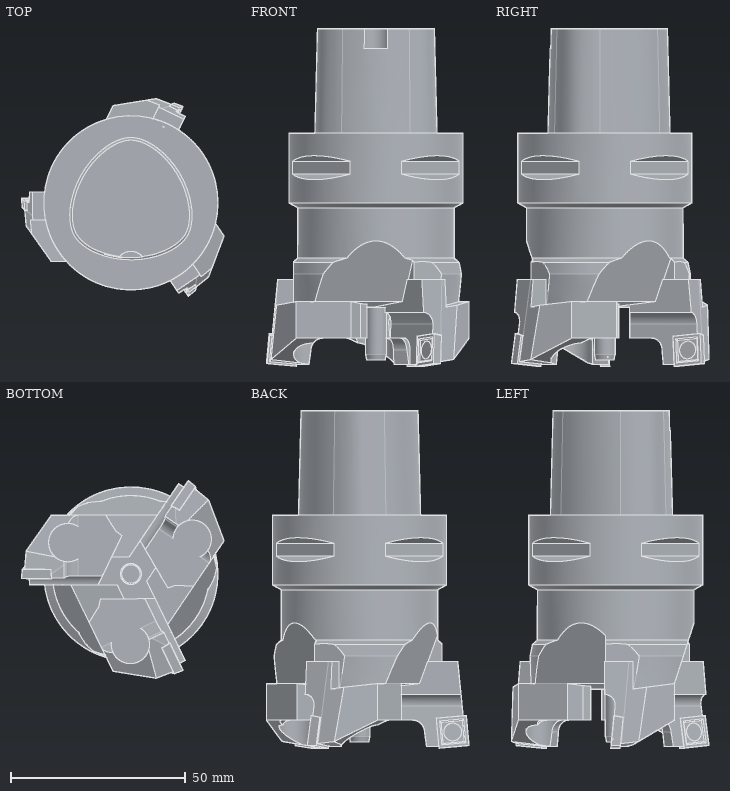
import cadquery as cq
import math

FLANGE_DIAMETER = 50.0
FLANGE_HEIGHT = 20.0
FLANGE_CONE_HEIGHT = 1.4
NECK_DIAMETER = 45.0

SHANK_LENGTH = 30.0
SHANK_WIDTH = 35.1
SHANK_TAPER = 1 / 20
LOBE_RISE = 1.2
LOBE_COUNT = 3
LOBE_SPACING = 360 / LOBE_COUNT
LOBE_HALF_TURN = 36.8
POINTS_PER_PIECE = 8
NOTCH_RADIUS = 4.3
NOTCH_TIP_Y = -13.9
NOTCH_DEPTH = 5.7

SLOT_COUNT = 4
SLOT_FIRST_ANGLE = 45.0
SLOT_Z = -9.89
SLOT_FLOOR_DISTANCE = 22.1
SLOT_FLOOR_HEIGHT = 3.65
SLOT_MOUTH_HEIGHT = 6.9

COLLAR_TOP_Z = -35.8
COLLAR_CHAMFER_Z = -37.05
COLLAR_WIDEST_Z = -40.4
COLLAR_CHAMFER_RADIUS = 23.9
COLLAR_RADIUS = 24.6
COLLAR_BOTTOM_RADIUS = 24.2
COLLAR_FLAT_X = -23.65
HUB_FACE_Z = -49.95
NOZZLE_DIAMETER = 6.01
NOZZLE_TIP_Z = -65.1
NOZZLE_CHAMFER_HEIGHT = 1.7
NOZZLE_CHAMFER_WIDTH = 0.35

TOOTH_ANGLES = (0.0, -116.0, -236.0)
RAKE_Y = 3.15
COLLAR_WALL_Y = 2.85
BACK_Y = -16.85
BACK_CORNER_X = -22.85
TOOTH_TOP_Z = -41.9
TOOTH_LOW_Z = -66.4
TOOTH_TOP_X = -28.2
OUTER_LEAN = math.radians(5.6)
RELIEF_START_Y = -3.8
RELIEF_START_LEAN = math.radians(5.2)
RELIEF_ANGLE = math.radians(4.5)
FLANK_ANGLE = math.radians(54.8)
SHELF_Y = -4.9
SHELF_Z = -49.85
SHELF_ANGLE = math.radians(7.5)
TOOTH_INNER_POINTS = [(-7.2, BACK_Y), (-4.4, -12.4), (-2.6, -11.0), (-9.4, RAKE_Y)]
GULLET_LOW_Z = SHELF_Z + (SHELF_Y - BACK_Y) * math.tan(SHELF_ANGLE)
GULLET_ANGLE = math.radians(18.0)

CEILING_Z = -58.8
HEEL_ANGLE = math.radians(30.7)
LAND_RELIEF = 7.0
LAND_RECESS = 0.45
ARCH_X = -18.6
ARCH_FILLET = 3.4
ARCH_WALL_ANGLE = math.radians(8.0)
SCALLOP_X = -18.1
SCALLOP_Y = -9.0
SCALLOP_RADIUS = 5.5
SEAT_Y = -0.1
SEAT_TOP_Z = -51.4
SEAT_FILLET = 3.0
SEAT_LEAN = math.radians(4.8)
SEAT_INNER_X = -5.0

TIP_X = -31.43
TIP_Y = 1.35
TIP_Z = -66.05
INSERT_SIDE = 8.7
INSERT_THICKNESS = 2.7
INSERT_RELIEF = 5.0
INSERT_TURN = 5.2
INSERT_TILT = 5.5
BREAKER_SIDE = 6.9
BREAKER_DEPTH = 0.4
BREAKER_TAPER = 45.0
HEAD_DIAMETER = 5.1
HEAD_CONE_HEIGHT = 1.6
SCREW_SHANK_DIAMETER = 3.2
SCREW_LENGTH = 7.0

REACH = 60.0
CUT_LOW_Z = -70.0


def turned(shape, angle):
    """The shape turned about the tool axis, counterclockwise as seen from the shank."""
    place = cq.Location(cq.Vector(0, 0, 0), cq.Vector(0, 0, 1), angle)
    return cq.Workplane(obj=shape.val().moved(place))


def lobed_point(turn, z):
    """Point of a constant-width curve with a lobe toward +Y, where its normal is turned from +Y."""
    angle = math.radians(turn)
    support = SHANK_WIDTH / 2 - z * SHANK_TAPER / 2 + LOBE_RISE * math.cos(3 * angle)
    slope = -3 * LOBE_RISE * math.sin(3 * angle)
    x = -support * math.sin(angle) - slope * math.cos(angle)
    y = support * math.cos(angle) - slope * math.sin(angle)
    return (x, y)


def tangent_vector(turn):
    """Direction of the lobed curve where its normal is turned from +Y."""
    angle = math.radians(turn)
    return cq.Vector(-math.cos(angle), -math.sin(angle), 0)


def lobed_section(z):
    """Wire of the lobed curve, made of one piece per lobe and one per flank between lobes."""
    pieces = []
    for lobe in range(LOBE_COUNT):
        middle = lobe * LOBE_SPACING
        joints = (middle - LOBE_HALF_TURN, middle + LOBE_HALF_TURN, middle + LOBE_SPACING - LOBE_HALF_TURN)
        for start, end in zip(joints, joints[1:]):
            step = (end - start) / POINTS_PER_PIECE
            points = [lobed_point(start + i * step, z) for i in range(POINTS_PER_PIECE + 1)]
            tangents = [tangent_vector(start), tangent_vector(end)]
            pieces.append(cq.Edge.makeSpline([cq.Vector(*p, z) for p in points], tangents=tangents))
    return cq.Wire.assembleEdges(pieces)


def make_shank():
    sections = [lobed_section(0), lobed_section(SHANK_LENGTH)]
    body = cq.Workplane(obj=cq.Solid.makeLoft(sections, True))
    notch = (
        cq.Workplane("XY", origin=(0, NOTCH_TIP_Y - NOTCH_RADIUS, SHANK_LENGTH))
        .circle(NOTCH_RADIUS)
        .extrude(-NOTCH_DEPTH)
    )
    return body.cut(notch)


def make_turned_body():
    flange_radius = FLANGE_DIAMETER / 2
    neck_radius = NECK_DIAMETER / 2
    nozzle_radius = NOZZLE_DIAMETER / 2
    profile = [
        (0, 0),
        (flange_radius, 0),
        (flange_radius, -FLANGE_HEIGHT),
        (neck_radius, -FLANGE_HEIGHT - FLANGE_CONE_HEIGHT),
        (neck_radius, COLLAR_TOP_Z),
        (COLLAR_CHAMFER_RADIUS, COLLAR_CHAMFER_Z),
        (COLLAR_RADIUS, COLLAR_WIDEST_Z),
        (COLLAR_BOTTOM_RADIUS, HUB_FACE_Z),
        (nozzle_radius, HUB_FACE_Z),
        (nozzle_radius, NOZZLE_TIP_Z + NOZZLE_CHAMFER_HEIGHT),
        (nozzle_radius - NOZZLE_CHAMFER_WIDTH, NOZZLE_TIP_Z),
        (0, NOZZLE_TIP_Z),
    ]
    return cq.Workplane("XZ").polyline(profile).close().revolve(360, (0, 0), (0, 1))


def make_gripper_slot():
    outer_x = FLANGE_DIAMETER / 2
    flare = (SLOT_MOUTH_HEIGHT - SLOT_FLOOR_HEIGHT) / 2
    profile = [
        (SLOT_FLOOR_DISTANCE, SLOT_FLOOR_HEIGHT / 2),
        (outer_x, SLOT_FLOOR_HEIGHT / 2 + flare),
        (outer_x, -SLOT_FLOOR_HEIGHT / 2 - flare),
        (SLOT_FLOOR_DISTANCE, -SLOT_FLOOR_HEIGHT / 2),
    ]
    return (
        cq.Workplane("XZ", origin=(0, 0, SLOT_Z))
        .polyline(profile)
        .close()
        .extrude(FLANGE_DIAMETER / 2, both=True)
    )


def make_collar_flat():
    """Block that flattens the collar above a tooth."""
    return (
        cq.Workplane("XY", origin=(COLLAR_FLAT_X, RAKE_Y, COLLAR_TOP_Z))
        .rect(-FLANGE_DIAMETER / 2, -FLANGE_DIAMETER / 2, centered=False)
        .extrude(HUB_FACE_Z - COLLAR_TOP_Z)
    )


def tooth_outline(z):
    """Closed outline of a tooth at height z, before its underside is shaped."""
    drop = TOOTH_TOP_Z - z
    outer_x = TOOTH_TOP_X - drop * math.tan(OUTER_LEAN)
    relief_y = RELIEF_START_Y + drop * math.tan(RELIEF_START_LEAN)
    flank = math.tan(FLANK_ANGLE)
    relief = math.tan(RELIEF_ANGLE)
    rise = relief_y - BACK_Y
    corner_x = (outer_x + relief * (rise - flank * BACK_CORNER_X)) / (1 - relief * flank)
    corner_y = BACK_Y + flank * (BACK_CORNER_X - corner_x)
    return [
        (outer_x, RAKE_Y),
        (outer_x, relief_y),
        (corner_x, corner_y),
        (BACK_CORNER_X, BACK_Y),
    ] + TOOTH_INNER_POINTS


def make_tooth_blank():
    return (
        cq.Workplane("XY", origin=(0, 0, TOOTH_TOP_Z))
        .polyline(tooth_outline(TOOTH_TOP_Z))
        .close()
        .workplane(offset=TOOTH_LOW_Z - TOOTH_TOP_Z)
        .polyline(tooth_outline(TOOTH_LOW_Z))
        .close()
        .loft(ruled=True)
    )


def make_shelf_cut():
    """Space above the sloping shelf behind the top of a tooth."""
    run = REACH / 2
    profile = [
        (SHELF_Y, SHELF_Z),
        (SHELF_Y, 0),
        (SHELF_Y - run, 0),
        (SHELF_Y - run, SHELF_Z + run * math.tan(SHELF_ANGLE)),
    ]
    return cq.Workplane("YZ").polyline(profile).close().extrude(REACH, both=True)


def make_underside_cut():
    """Steep heel under the back of the tooth, followed by a land that rises slightly outward."""
    heel_slope = math.tan(HEEL_ANGLE)
    heel_end_y = BACK_Y + (CEILING_Z - CUT_LOW_Z) / heel_slope
    behind_y = BACK_Y - REACH / 2
    profile = [
        (heel_end_y, CUT_LOW_Z),
        (BACK_Y, CEILING_Z),
        (behind_y, CEILING_Z),
        (behind_y, CUT_LOW_Z),
    ]
    heel = cq.Workplane("YZ").polyline(profile).close().extrude(-REACH)
    land = (
        cq.Workplane("XY")
        .rect(REACH, REACH)
        .extrude(CUT_LOW_Z - TOOTH_LOW_Z)
        .rotate((0, 0, 0), (1, 0, 0), -LAND_RELIEF)
        .rotate((0, 0, 0), (0, 1, 0), INSERT_TURN)
        .translate((TIP_X, SEAT_Y, TIP_Z + LAND_RECESS))
    )
    return heel.union(land)


def make_arch_cut():
    """Arched space under the inner half of a tooth, with an upright scallop behind it."""
    wall_foot_x = ARCH_X - (CEILING_Z - CUT_LOW_Z - ARCH_FILLET) * math.tan(ARCH_WALL_ANGLE)
    middle = ARCH_FILLET * (1 - math.sqrt(0.5))
    arch = (
        cq.Workplane("XZ")
        .moveTo(0, CEILING_Z)
        .lineTo(ARCH_X + ARCH_FILLET, CEILING_Z)
        .threePointArc((ARCH_X + middle, CEILING_Z - middle), (ARCH_X, CEILING_Z - ARCH_FILLET))
        .lineTo(wall_foot_x, CUT_LOW_Z)
        .lineTo(0, CUT_LOW_Z)
        .close()
        .extrude(REACH / 2, both=True)
    )
    scallop = (
        cq.Workplane("XY", origin=(SCALLOP_X, SCALLOP_Y, CEILING_Z))
        .circle(SCALLOP_RADIUS)
        .extrude(-REACH / 2)
    )
    return arch.union(scallop)


def make_seat_cut():
    """Step in the rake face that leaves room in front of the insert; its floor leans forward."""
    lean = (SEAT_TOP_Z - CUT_LOW_Z) * math.tan(SEAT_LEAN)
    profile = [
        (SEAT_Y + lean, CUT_LOW_Z),
        (SEAT_Y, SEAT_TOP_Z),
        (REACH, SEAT_TOP_Z),
        (REACH, CUT_LOW_Z),
    ]
    space = cq.Workplane("YZ", origin=(SEAT_INNER_X, 0, 0)).polyline(profile).close().extrude(-REACH)
    return space.edges("<Y and >Z").fillet(SEAT_FILLET)


def make_tooth():
    cuts = (make_shelf_cut(), make_underside_cut(), make_arch_cut(), make_seat_cut())
    tooth = make_tooth_blank()
    for cut in cuts:
        tooth = tooth.cut(cut)
    return tooth


def make_gullet(previous_turn):
    """Space that slopes down to a tooth's back edge and on under the hub, in line with its shelf.

    It ends at the rake plane of the tooth before it.
    """
    run = REACH / 2
    top_z = GULLET_LOW_Z + run * math.cos(GULLET_ANGLE)
    profile = [
        (SHELF_Y, CUT_LOW_Z),
        (SHELF_Y, SHELF_Z),
        (BACK_Y, GULLET_LOW_Z),
        (BACK_Y - run * math.sin(GULLET_ANGLE), top_z),
        (BACK_Y - run, top_z),
        (BACK_Y - run, CUT_LOW_Z),
    ]
    space = cq.Workplane("YZ").polyline(profile).close().extrude(REACH, both=True)
    in_front_of_tooth = make_front_block(RAKE_Y, CUT_LOW_Z)
    in_front_of_collar = make_front_block(COLLAR_WALL_Y, TOOTH_TOP_Z)
    return space.intersect(turned(in_front_of_tooth.union(in_front_of_collar), previous_turn))


def make_front_block(wall_y, low_z):
    """Block above low_z on the cutting side of an upright wall."""
    return (
        cq.Workplane("XY", origin=(0, wall_y + REACH / 2, low_z))
        .rect(2 * REACH, REACH)
        .extrude(-low_z)
    )


def seat_plane():
    """Plane of the insert's rake face: origin at the outer tip, Y up the edge, normal into the tooth."""
    turn = math.radians(INSERT_TURN)
    tilt = math.radians(INSERT_TILT)
    along = (math.cos(turn), math.sin(turn) * math.sin(tilt), -math.sin(turn) * math.cos(tilt))
    inward = (0, -math.cos(tilt), -math.sin(tilt))
    return cq.Plane(origin=(TIP_X, TIP_Y, TIP_Z), xDir=along, normal=inward)


def make_insert_blank():
    return (
        cq.Workplane(seat_plane())
        .center(INSERT_SIDE / 2, INSERT_SIDE / 2)
        .rect(INSERT_SIDE, INSERT_SIDE)
        .extrude(INSERT_THICKNESS, taper=INSERT_RELIEF)
    )


def make_screw():
    """Countersunk screw whose head is level with the floor of the insert's recess."""
    head_radius = HEAD_DIAMETER / 2
    shank_radius = SCREW_SHANK_DIAMETER / 2
    plane = seat_plane()
    axis_origin = plane.toWorldCoords((INSERT_SIDE / 2, INSERT_SIDE / 2, BREAKER_DEPTH))
    section = cq.Plane(origin=axis_origin, xDir=plane.xDir, normal=plane.xDir.cross(plane.zDir))
    profile = [
        (0, 0),
        (head_radius, 0),
        (shank_radius, HEAD_CONE_HEIGHT),
        (shank_radius, SCREW_LENGTH),
        (0, SCREW_LENGTH),
    ]
    return cq.Workplane(section).polyline(profile).close().revolve(360, (0, 0), (0, 1))


def make_insert():
    recess = (
        cq.Workplane(seat_plane())
        .center(INSERT_SIDE / 2, INSERT_SIDE / 2)
        .rect(BREAKER_SIDE, BREAKER_SIDE)
        .extrude(BREAKER_DEPTH, taper=BREAKER_TAPER)
    )
    return make_insert_blank().cut(make_screw()).cut(recess)


cutter_body = make_turned_body()
for index in range(SLOT_COUNT):
    slot_angle = SLOT_FIRST_ANGLE + index * 360 / SLOT_COUNT
    cutter_body = cutter_body.cut(turned(make_gripper_slot(), slot_angle))
for angle in TOOTH_ANGLES:
    cutter_body = cutter_body.cut(turned(make_collar_flat(), angle))
for index, angle in enumerate(TOOTH_ANGLES):
    previous_turn = TOOTH_ANGLES[index - 1] - angle
    cutter_body = cutter_body.cut(turned(make_gullet(previous_turn), angle))
for angle in TOOTH_ANGLES:
    cutter_body = cutter_body.union(turned(make_tooth(), angle))
for angle in TOOTH_ANGLES:
    seat_and_hole = make_insert_blank().union(make_screw())
    cutter_body = cutter_body.cut(turned(seat_and_hole, angle))
cutter_body = cutter_body.union(make_shank())

inserts = [turned(make_insert(), angle) for angle in TOOTH_ANGLES]
screws = [turned(make_screw(), angle) for angle in TOOTH_ANGLES]

result = cq.Compound.makeCompound(
    [cutter_body.val()] + [insert.val() for insert in inserts] + [screw.val() for screw in screws]
)